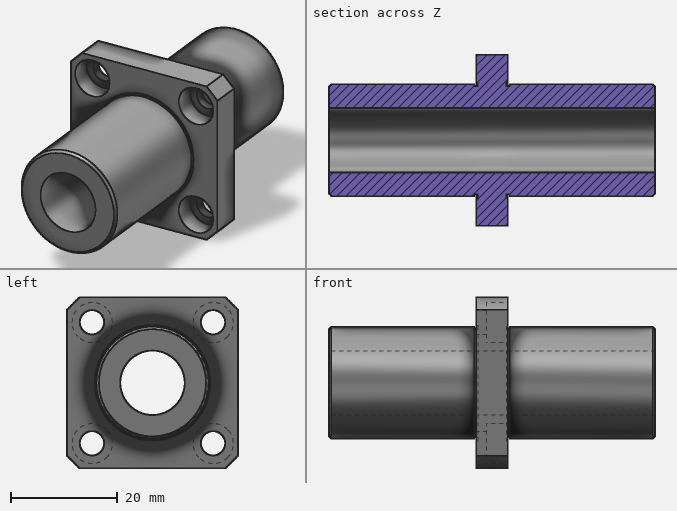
import cadquery as cq

length = 61.0
barrel_diameter = 21.0
bore_diameter = 12.0
end_chamfer = 0.5

flange_width = 32.0
flange_thickness = 6.0
corner_chamfer = 2.4
hole_diameter = 4.5
hole_spacing = 22.65
counterbore_diameter = 7.5
counterbore_depth = 4.1

root_relief_size = 0.3


def make_barrel():
    """Cylinder with chamfered ends."""
    barrel = cq.Workplane("YZ").circle(barrel_diameter / 2).extrude(length / 2, both=True)
    return barrel.faces("<X or >X").edges().chamfer(end_chamfer)


def make_flange():
    """Square plate with cut corners."""
    plate = cq.Workplane("YZ").rect(flange_width, flange_width).extrude(flange_thickness / 2, both=True)
    return plate.edges("|X").chamfer(corner_chamfer)


def make_root_relief(side):
    """Ring cut into the corner between barrel and flange; side is -1 or +1 along X."""
    return (
        cq.Workplane("XY")
        .center(side * flange_thickness / 2, barrel_diameter / 2)
        .rect(2 * root_relief_size, 2 * root_relief_size)
        .revolve(360, (0, -barrel_diameter / 2), (1, -barrel_diameter / 2))
    )


def mounting_cylinders(start, diameter, depth):
    """Four cylinders on the mounting pattern, running from x = start toward +X."""
    return (
        cq.Workplane("YZ", origin=(start, 0, 0))
        .rect(hole_spacing, hole_spacing, forConstruction=True)
        .vertices()
        .circle(diameter / 2)
        .extrude(depth)
    )


def make_holes():
    """Central bore and four mounting holes counterbored from the +X flange face."""
    half_thickness = flange_thickness / 2
    bore = cq.Workplane("YZ").circle(bore_diameter / 2).extrude(length / 2, both=True)
    clearance = mounting_cylinders(-half_thickness, hole_diameter, flange_thickness)
    counterbores = mounting_cylinders(
        half_thickness - counterbore_depth, counterbore_diameter, counterbore_depth
    )
    return bore.union(clearance).union(counterbores)


result = make_barrel().union(make_flange()).cut(make_holes())
for side in (-1, 1):
    result = result.cut(make_root_relief(side))